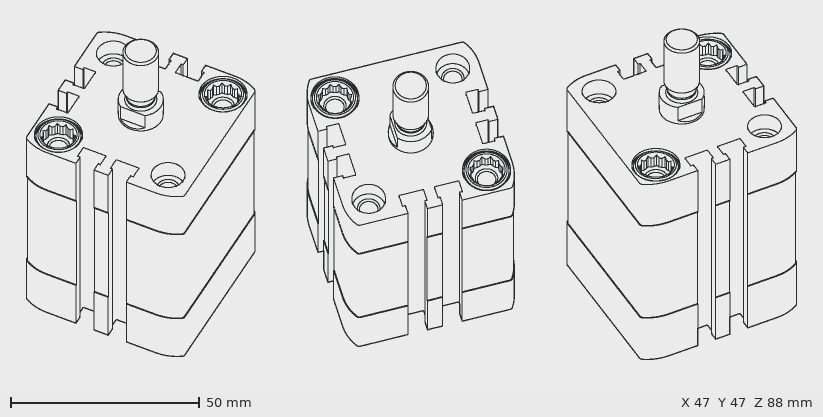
import cadquery as cq
import math

OVERALL_HEIGHT = 88.05
CAP_SIDE = 47.0
CAP_HEIGHT = 15.0
HOUSING_HEIGHT = 63.0
BARREL_INSET = 0.22
CORNER_ARC_START = 16.3
CORNER_ARC_RADIUS = 12.5
CORNER_FILLET = 1.0

SLOT_MOUTH_INNER = 2.1
SLOT_MOUTH_OUTER = 7.5
SLOT_WIDE_INNER = 1.5
SLOT_WIDE_OUTER = 8.3
SLOT_MOUTH_DEPTH = 2.55
SLOT_DEPTH = 6.0
SLOT_FLOOR_FILLET = 0.22
SLOT_SIDE_ANGLES = (0, 90, 180)

HOLE_OFFSET = 16.3
THROUGH_DIAMETER = 4.9
SINK_DIAMETER = 6.0
COUNTERBORE_DIAMETER = 9.0
COUNTERBORE_DEPTH = 5.0
PLAIN_CORNERS = ((-1, 1), (1, -1))
SOCKET_CORNERS = ((-1, -1), (1, 1))

GROOVE_OUTER_DIAMETER = 12.8
GROOVE_INNER_DIAMETER = 12.0
GROOVE_DEPTH = 0.9
RIM_CHAMFER = 0.5
SOCKET_MOUTH_DIAMETER = 9.9
SOCKET_TIP_DIAMETER = 8.4
SOCKET_ROOT_DIAMETER = 9.2
SOCKET_MOUTH_DEPTH = 1.3
SOCKET_DEPTH = 4.5
TOOTH_COUNT = 12
TOOTH_TIP_WIDTH = 0.8

COLLAR_DIAMETER = 12.0
COLLAR_HEIGHT = 5.9
FLAT_SPACING = 9.5
FLAT_BOTTOM = 1.15
FLAT_RUNOUT_DROP = 0.5
NECK_DIAMETER = 7.7
NECK_FOOT_DIAMETER = 8.5
NECK_BOTTOM = 6.8
NECK_TOP = 7.3
TAPER_FOOT_DIAMETER = 7.8
TAPER_FOOT = 7.6
STUD_DIAMETER = 9.5
STUD_BOTTOM = 10.0
STUD_CHAMFER = 0.6


def rounded_block(half_side, arc_radius, height):
    """A square block with corner arcs tangent to the +Y and -Y sides, eased where they meet the X sides."""
    start = CORNER_ARC_START
    centre_y = half_side - arc_radius
    run = half_side - start
    end_y = centre_y + math.sqrt(arc_radius**2 - run**2)
    mid_angle = math.asin(run / arc_radius) / 2
    mid_x = start + arc_radius * math.sin(mid_angle)
    mid_y = centre_y + arc_radius * math.cos(mid_angle)
    return (
        cq.Workplane("XY")
        .moveTo(-start, half_side)
        .lineTo(start, half_side)
        .threePointArc((mid_x, mid_y), (half_side, end_y))
        .lineTo(half_side, -end_y)
        .threePointArc((mid_x, -mid_y), (start, -half_side))
        .lineTo(-start, -half_side)
        .threePointArc((-mid_x, -mid_y), (-half_side, -end_y))
        .lineTo(-half_side, end_y)
        .threePointArc((-mid_x, mid_y), (-start, half_side))
        .close()
        .extrude(height)
        .edges("|Z and (<X or >X)")
        .fillet(CORNER_FILLET)
    )


def housing_blank():
    half_cap = CAP_SIDE / 2
    cap = rounded_block(half_cap, CORNER_ARC_RADIUS, CAP_HEIGHT)
    barrel_height = HOUSING_HEIGHT - 2 * CAP_HEIGHT
    barrel = rounded_block(half_cap - BARREL_INSET, CORNER_ARC_RADIUS - BARREL_INSET, barrel_height)
    return (
        cap
        .union(barrel.translate((0, 0, CAP_HEIGHT)))
        .union(cap.translate((0, 0, CAP_HEIGHT + barrel_height)))
    )


def slot_pair_cutter():
    """The two T-slots of the +Y side, mirror images about the YZ plane."""
    outside = CAP_SIDE / 2
    shoulder = outside - SLOT_MOUTH_DEPTH
    floor = outside - SLOT_DEPTH
    slot = (
        cq.Workplane("XY")
        .polyline([
            (SLOT_MOUTH_INNER, outside),
            (SLOT_MOUTH_INNER, shoulder),
            (SLOT_WIDE_INNER, shoulder),
            (SLOT_WIDE_INNER, floor),
            (SLOT_WIDE_OUTER, floor),
            (SLOT_WIDE_OUTER, shoulder),
            (SLOT_MOUTH_OUTER, shoulder),
            (SLOT_MOUTH_OUTER, outside),
        ])
        .close()
        .extrude(HOUSING_HEIGHT)
        .edges("|Z and <Y")
        .fillet(SLOT_FLOOR_FILLET)
    )
    return slot.union(slot.mirror("YZ"))


def turned(profile):
    """A solid of revolution about the Z axis from (radius, height) points."""
    return cq.Workplane("XZ").polyline(profile).close().revolve(360, (0, 0, 0), (0, 1, 0))


def through_hole_cutter(seat_depth):
    """A through hole countersunk at a seat below the housing top, which is at height 0."""
    sink_depth = (SINK_DIAMETER - THROUGH_DIAMETER) / 2
    return turned([
        (0, -HOUSING_HEIGHT),
        (THROUGH_DIAMETER / 2, -HOUSING_HEIGHT),
        (THROUGH_DIAMETER / 2, -seat_depth - sink_depth),
        (SINK_DIAMETER / 2, -seat_depth),
        (0, -seat_depth),
    ])


def plain_hole_cutter():
    counterbore = cq.Workplane("XY").circle(COUNTERBORE_DIAMETER / 2).extrude(-COUNTERBORE_DEPTH)
    return through_hole_cutter(COUNTERBORE_DEPTH).union(counterbore)


def tooth_outline():
    """Points of the socket outline, with one tooth tip pointing along the diagonal."""
    tip_radius = SOCKET_TIP_DIAMETER / 2
    root_radius = SOCKET_ROOT_DIAMETER / 2
    tip_half_angle = math.asin(TOOTH_TIP_WIDTH / 2 / tip_radius)
    pitch = 2 * math.pi / TOOTH_COUNT
    points = []
    for i in range(TOOTH_COUNT):
        tip_angle = math.pi / 4 + i * pitch
        root_angle = tip_angle + pitch / 2
        for radius, angle in (
            (tip_radius, tip_angle - tip_half_angle),
            (tip_radius, tip_angle + tip_half_angle),
            (root_radius, root_angle),
        ):
            points.append((radius * math.cos(angle), radius * math.sin(angle)))
    return points


def socket_cutter():
    groove_outer = GROOVE_OUTER_DIAMETER / 2
    groove_inner = GROOVE_INNER_DIAMETER / 2
    groove = turned([
        (groove_outer, 0),
        (groove_outer, -GROOVE_DEPTH),
        (groove_inner, -GROOVE_DEPTH),
        (groove_inner, -RIM_CHAMFER),
        (groove_inner - RIM_CHAMFER, 0),
    ])
    mouth = turned([
        (0, 0),
        (SOCKET_MOUTH_DIAMETER / 2, 0),
        (SOCKET_TIP_DIAMETER / 2, -SOCKET_MOUTH_DEPTH),
        (0, -SOCKET_MOUTH_DEPTH),
    ])
    teeth = cq.Workplane("XY").polyline(tooth_outline()).close().extrude(-SOCKET_DEPTH)
    return through_hole_cutter(SOCKET_DEPTH).union(teeth).union(mouth).union(groove)


def at_corner(cutter, corner):
    side_x, side_y = corner
    return cutter.translate((side_x * HOLE_OFFSET, side_y * HOLE_OFFSET, HOUSING_HEIGHT))


def make_housing():
    housing = housing_blank()
    slots = slot_pair_cutter()
    for angle in SLOT_SIDE_ANGLES:
        housing = housing.cut(slots.rotate((0, 0, 0), (0, 0, 1), angle))
    for corner in PLAIN_CORNERS:
        housing = housing.cut(at_corner(plain_hole_cutter(), corner))
    for corner in SOCKET_CORNERS:
        housing = housing.cut(at_corner(socket_cutter(), corner))
    return housing


def wrench_flat_cutter():
    """Removes the +Y side of the collar, with a sloping run-out below the flat."""
    flat_y = FLAT_SPACING / 2
    collar_radius = COLLAR_DIAMETER / 2
    return (
        cq.Workplane("YZ")
        .polyline([
            (flat_y, COLLAR_HEIGHT),
            (flat_y, FLAT_BOTTOM),
            (collar_radius, FLAT_BOTTOM - FLAT_RUNOUT_DROP),
            (collar_radius, COLLAR_HEIGHT),
        ])
        .close()
        .extrude(collar_radius, both=True)
    )


def make_rod():
    """The rod stands on the housing top: a collar with two flats, a neck and a chamfered stud."""
    rod_length = OVERALL_HEIGHT - HOUSING_HEIGHT
    stud_radius = STUD_DIAMETER / 2
    rod = turned([
        (0, 0),
        (COLLAR_DIAMETER / 2, 0),
        (COLLAR_DIAMETER / 2, COLLAR_HEIGHT),
        (NECK_FOOT_DIAMETER / 2, COLLAR_HEIGHT),
        (NECK_DIAMETER / 2, NECK_BOTTOM),
        (NECK_DIAMETER / 2, NECK_TOP),
        (TAPER_FOOT_DIAMETER / 2, TAPER_FOOT),
        (stud_radius, STUD_BOTTOM),
        (stud_radius, rod_length - STUD_CHAMFER),
        (stud_radius - STUD_CHAMFER, rod_length),
        (0, rod_length),
    ])
    flat = wrench_flat_cutter()
    rod = rod.cut(flat).cut(flat.mirror("XZ"))
    return rod.translate((0, 0, HOUSING_HEIGHT))


housing = make_housing()
rod = make_rod()
result = cq.Compound.makeCompound([housing.val(), rod.val()])